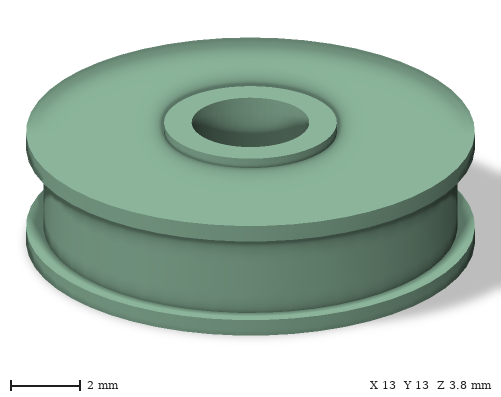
import cadquery as cq

flange_diameter = 13.0
drum_diameter = 12.0
boss_diameter = 5.0
bore_diameter = 3.4

total_height = 3.8
boss_height = 0.3
flange_thickness = 0.5
body_height = total_height - boss_height


def disc(diameter, bottom, height):
    """Solid disc on the Z axis, starting at the given height."""
    return cq.Workplane("XY").workplane(offset=bottom).circle(diameter / 2).extrude(height)


drum = disc(drum_diameter, 0, body_height)
lower_flange = disc(flange_diameter, 0, flange_thickness)
upper_flange = disc(flange_diameter, body_height - flange_thickness, flange_thickness)

boss = disc(boss_diameter, body_height, boss_height)
bore = disc(bore_diameter, 0, total_height)

result = drum.union(lower_flange).union(upper_flange).union(boss).cut(bore)